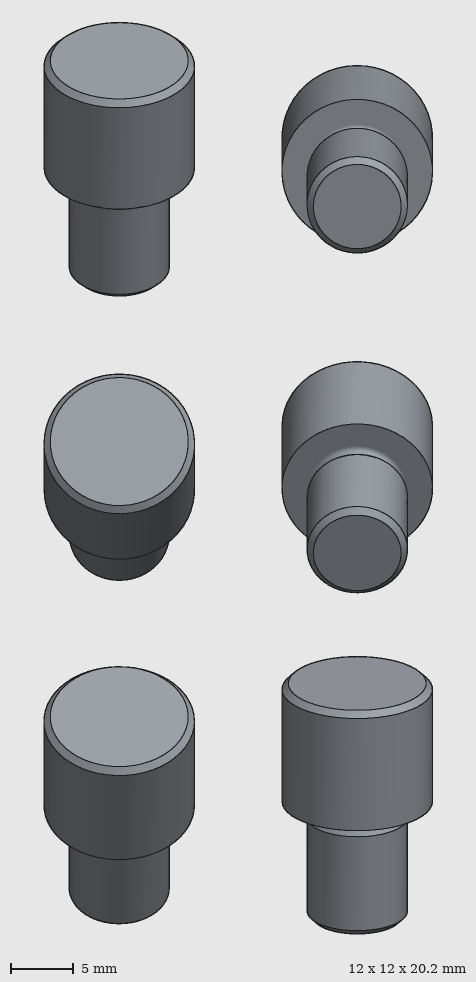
import cadquery as cq

total_height = 20.2
head_diameter = 12.0
head_height = 10.2
shank_diameter = 8.0
end_chamfer = 0.5

neck_diameter = 7.0
fillet_radius = 0.4
neck_land = 0.2
relief_height = 1.37

head_radius = head_diameter / 2
shank_radius = shank_diameter / 2
neck_radius = neck_diameter / 2
shoulder_z = total_height - head_height
fillet_start_z = shoulder_z - fillet_radius
neck_bottom_z = fillet_start_z - neck_land
relief_bottom_z = shoulder_z - relief_height

profile = (
    cq.Workplane("XZ")
    .moveTo(0, 0)
    .lineTo(shank_radius - end_chamfer, 0)
    .lineTo(shank_radius, end_chamfer)
    .lineTo(shank_radius, relief_bottom_z)
    .lineTo(neck_radius, neck_bottom_z)
    .lineTo(neck_radius, fillet_start_z)
    .radiusArc((neck_radius + fillet_radius, shoulder_z), fillet_radius)
    .lineTo(head_radius, shoulder_z)
    .lineTo(head_radius, total_height - end_chamfer)
    .lineTo(head_radius - end_chamfer, total_height)
    .lineTo(0, total_height)
    .close()
)

result = profile.revolve(360, (0, 0), (0, 1))